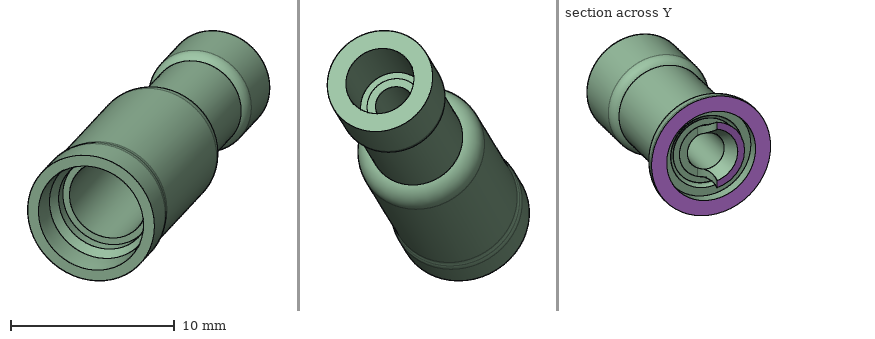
import cadquery as cq
import math

length = 23.9

collar_diameter = 8.2
collar_radius = collar_diameter / 2
body_radius = 3.95
neck_radius = 2.9
wire_end_radius = 3.3
collar_end = 2.03
blend_end = 2.8
shoulder_end = 13.5
shoulder_round = 1.48
flare_start = 19.72
flare_round = 0.85

mouth_radius = 3.4
mouth_inner_radius = 3.27
mouth_depth = 1.72
lead_in_end = 2.4
socket_bore_radius = 2.92
sleeve_bore_radius = 2.13
inner_step = 12.67
lip_round = 0.25

socket_front = 3.18
socket_inner_radius = 2.49
tail_outer_radius = 1.72
tail_bore_radius = 1.2
neck_down_start = 10.85
neck_down_end = 12.76
tube_end = flare_start

window_start = 11.05
window_round = 0.9
window_center_x = -0.53

sleeve_front = window_start + 2 * window_round


def revolve_about_y(profile):
    """Revolve a closed (radius, Y) profile about the Y axis."""
    return profile.close().revolve(360, (0, 0, 0), (0, 1, 0))


def s_blend(profile, start, end):
    """Join start to end with two equal arcs that run parallel to Y at both ends."""
    half_radial = (end[0] - start[0]) / 2
    half_axial = (end[1] - start[1]) / 2
    chord_angle = math.atan2(abs(half_radial), abs(half_axial))
    arc_radius = (half_radial**2 + half_axial**2) / (2 * abs(half_radial))
    radial_offset = math.copysign(arc_radius * (1 - math.cos(chord_angle)), half_radial)
    axial_offset = math.copysign(arc_radius * math.sin(chord_angle), half_axial)
    middle = (start[0] + half_radial, start[1] + half_axial)
    first_via = (start[0] + radial_offset, start[1] + axial_offset)
    second_via = (end[0] - radial_offset, end[1] - axial_offset)
    return profile.threePointArc(first_via, middle).threePointArc(second_via, end)


def round_height(round_radius, radial_distance):
    """Axial height of a corner round at a radial distance inside its outer cylinder."""
    return math.sqrt(round_radius**2 - (round_radius - radial_distance) ** 2)


def make_housing():
    shoulder_height = round_height(shoulder_round, body_radius - neck_radius)
    shoulder_start = shoulder_end - shoulder_height
    flare_height = round_height(flare_round, wire_end_radius - neck_radius)
    profile = cq.Workplane("XY").moveTo(mouth_radius, 0).lineTo(collar_radius, 0)
    profile = profile.lineTo(collar_radius, collar_end)
    profile = s_blend(profile, (collar_radius, collar_end), (body_radius, blend_end))
    profile = (
        profile.lineTo(body_radius, shoulder_start)
        .radiusArc((neck_radius, shoulder_end), -shoulder_round)
        .lineTo(neck_radius, flare_start)
        .radiusArc((wire_end_radius, flare_start + flare_height), -flare_round)
        .lineTo(wire_end_radius, length)
        .lineTo(sleeve_bore_radius, length)
        .lineTo(sleeve_bore_radius, inner_step + lip_round)
        .radiusArc((sleeve_bore_radius + lip_round, inner_step), lip_round)
        .lineTo(socket_bore_radius, inner_step)
        .lineTo(socket_bore_radius, lead_in_end)
        .lineTo(mouth_inner_radius, mouth_depth)
    )
    return revolve_about_y(profile)


def make_socket():
    profile = (
        cq.Workplane("XY")
        .moveTo(socket_inner_radius, socket_front)
        .lineTo(socket_bore_radius, socket_front)
        .lineTo(socket_bore_radius, neck_down_start)
        .lineTo(tail_outer_radius, neck_down_end)
        .lineTo(tail_outer_radius, tube_end)
        .lineTo(tail_bore_radius, tube_end)
        .lineTo(tail_bore_radius, neck_down_end)
        .lineTo(socket_inner_radius, neck_down_start)
    )
    return revolve_about_y(profile).cut(make_window())


def make_window():
    """Slot along Z that is open toward -X and ends in a full round."""
    open_side_x = -collar_radius
    return (
        cq.Workplane("XY")
        .moveTo(open_side_x, window_start)
        .lineTo(window_center_x, window_start)
        .threePointArc(
            (window_center_x + window_round, window_start + window_round),
            (window_center_x, sleeve_front),
        )
        .lineTo(open_side_x, sleeve_front)
        .close()
        .extrude(collar_radius, both=True)
    )


def make_sleeve():
    profile = (
        cq.Workplane("XY")
        .moveTo(tail_outer_radius, sleeve_front)
        .lineTo(sleeve_bore_radius, sleeve_front)
        .lineTo(sleeve_bore_radius, tube_end)
        .lineTo(tail_outer_radius, tube_end)
    )
    return revolve_about_y(profile)


housing = make_housing()
socket = make_socket()
sleeve = make_sleeve()

result = cq.Compound.makeCompound([housing.val(), socket.val(), sleeve.val()])